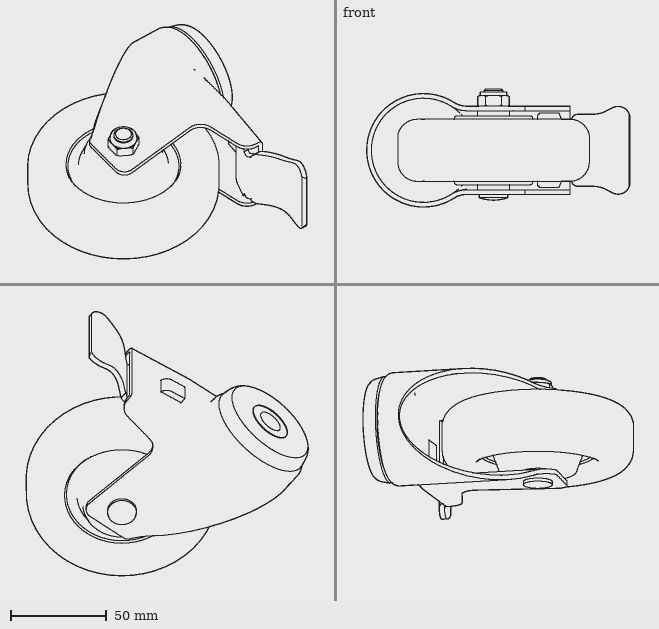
import cadquery as cq
import math


SHEET = 2.5

WHEEL_RADIUS = 50.0
WHEEL_HALF_WIDTH = 16.2
TREAD_LOW_Z = -5.9
TREAD_HIGH_Z = 8.1
TYRE_CREST_OUTER = 39.8
TYRE_CREST_INNER = 38.0
TYRE_BORE = 30.0
CORE_WEB_HALF_WIDTH = 7.5
CORE_FILLET = 1.0
HUB_BASE_RADIUS = 24.5
HUB_TOP_RADIUS = 20.5
HUB_HALF_WIDTH = 18.0
HUB_EDGE_ROUND = 1.4

BOLT_RADIUS = 5.0
BOLT_TIP_Z = 32.0
BOLT_TIP_CHAMFER = 0.8
BOLT_HEAD_RADIUS = 7.5
BOLT_HEAD_RIM = 1.6
BOLT_HEAD_HEIGHT = 3.0
SLEEVE_RADIUS = 8.4
NUT_ACROSS_CORNERS = 16.5
NUT_HEX_HEIGHT = 5.5
NUT_CHAMFER = 0.5
NUT_COLLAR_RADIUS = 7.0
NUT_COLLAR_HEIGHT = 1.9
NUT_COLLAR_ROUND = 0.7

SWIVEL_X = -36.5
CROWN_RADIUS = 29.7
CROWN_TOP_Y = 71.0
CROWN_ROUND = 4.1
CHEEK_HALF_WIDTH = 23.1
NECK_BEND = 11.8
ROOF_Y = 63.7
ROOF_SLOPE_START_X = 4.3
ROOF_END_X = 40.0
ROOF_END_Y = 60.7
ROOF_BEND = 2.9
ROOF_FILLET = 1.2
FORK_BOTTOM_Y = -12.9
FORK_CUT_START_Y = 58.9
FORK_CUT_END_X = -12.8
CHEEK_CORNER_X = 17.3
CHEEK_NOTCH = (9.0, 42.9)
CHEEK_NOSE_Y = 50.1
SPIGOT_RADIUS = 11.3
SPIGOT_TOP_Y = 79.5
MOUNT_HOLE_RADIUS = 6.5
HEEL_ROUND = 3.3
FOOT_ROUND = 5.5
NOSE_ROUND = 8.0

HEAD_BOTTOM_Y = 71.7
HEAD_RIM_HEIGHT = 0.7
HEAD_SHOULDER_Y = 76.4
HEAD_TOP_Y = 79.1
HEAD_BOTTOM_RADIUS = 27.9
HEAD_SHOULDER_RADIUS = 26.9
HEAD_TOP_RADIUS = 25.0
HEAD_NECK_RADIUS = 24.6

PEDAL_THICKNESS = 2.9
PEDAL_ARC_CENTRE = (63.6, 40.0)
PEDAL_ARC_RADIUS = 26.1
PEDAL_BEND_ANGLE = 133.0
PEDAL_TIP_ANGLE = 73.5
PEDAL_SHANK_LENGTH = 7.8
PEDAL_TOE = (38.9, 51.0)
PEDAL_FOLD = (38.0, 53.8)
PEDAL_SHANK_HALF_WIDTH = 16.0
PEDAL_NECK_HALF_WIDTH = 18.8
PEDAL_HALF_WIDTH = 23.0
PAD_LOW_CORNER = (23.0, 56.0)
PAD_HIGH_CORNER = (23.8, 58.4)
PAD_END_X = 35.6
PAD_HALF_WIDTH = 19.4
PAD_CHAMFER = 1.1
PAD_TAPER_LENGTH = 1.4
STOP_START_X = 9.8
STOP_END_X = 22.3
STOP_HALF_WIDTH = 5.5
STOP_TOP_Y = 66.5
STOP_SHOULDER = (17.7, 65.8)

CHEEK_INNER = CHEEK_HALF_WIDTH - SHEET
CAP_UNDERSIDE_Y = CROWN_TOP_Y - SHEET
FORK_CUT_SLOPE = (FORK_CUT_START_Y - FORK_BOTTOM_Y) / (FORK_CUT_END_X - SWIVEL_X + CROWN_RADIUS)
ROOF_SLOPE = (ROOF_Y - ROOF_END_Y) / (ROOF_END_X - ROOF_SLOPE_START_X)
THROUGH = 274.7
MARGIN = 1.4

BEND_Z = CHEEK_HALF_WIDTH + NECK_BEND
BEND_DX = math.sqrt((CROWN_RADIUS + NECK_BEND) ** 2 - BEND_Z**2)
BEND_X = SWIVEL_X + BEND_DX
BEND_ANGLE = math.degrees(math.atan2(BEND_Z, BEND_DX))


def polar_point(centre, radius, degrees):
    """Point on a circle at an angle from the first axis."""
    angle = math.radians(degrees)
    return (centre[0] + radius * math.cos(angle), centre[1] + radius * math.sin(angle))


def box_between(low, high):
    """Box with two opposite corners given."""
    size = [b - a for a, b in zip(low, high)]
    return cq.Workplane("XY", origin=low).box(*size, centered=False)


def roof_height(x):
    """Y of the roof's outer face on its sloping part."""
    return ROOF_Y - ROOF_SLOPE * (x - ROOF_SLOPE_START_X)


def neck_solid(inset, end_x):
    """Both cheeks and the roof as a full solid, moved inward by `inset` on every face."""
    half_width = CHEEK_HALF_WIDTH - inset
    bend = NECK_BEND + inset
    roof_y = ROOF_Y - inset
    start_x, start_z = polar_point((SWIVEL_X, 0), CROWN_RADIUS - inset, BEND_ANGLE)
    middle_x, middle_z = polar_point((BEND_X, BEND_Z), bend, 180 + (BEND_ANGLE + 90) / 2)

    neck = (
        cq.Workplane("XZ", origin=(0, FORK_BOTTOM_Y, 0))
        .moveTo(end_x, -half_width)
        .lineTo(BEND_X, -half_width)
        .threePointArc((middle_x, -middle_z), (start_x, -start_z))
        .lineTo(start_x, start_z)
        .threePointArc((middle_x, middle_z), (BEND_X, half_width))
        .lineTo(end_x, half_width)
        .close()
        .extrude(-(roof_y - FORK_BOTTOM_Y))
    )
    above_slope = (
        cq.Workplane("XY")
        .moveTo(ROOF_SLOPE_START_X, roof_y)
        .lineTo(end_x + MARGIN, roof_y)
        .lineTo(end_x + MARGIN, roof_height(end_x + MARGIN) - inset)
        .close()
        .extrude(THROUGH, both=True)
    )
    along_roof = cq.selectors.BoxSelector(
        (start_x + MARGIN, roof_height(end_x) - inset, -THROUGH), (end_x - MARGIN, THROUGH, THROUGH)
    )
    return neck.cut(above_slope).edges("not |Z").edges(along_roof).fillet(ROOF_BEND - inset)


def crown_solid(inset):
    """Round crown as a full solid, moved inward by `inset` on every face."""
    return (
        cq.Workplane("XZ", origin=(SWIVEL_X, FORK_BOTTOM_Y, 0))
        .circle(CROWN_RADIUS - inset)
        .extrude(-(CROWN_TOP_Y - inset - FORK_BOTTOM_Y))
        .faces(">Y")
        .edges()
        .fillet(CROWN_ROUND - inset)
    )


def fork_solid(inset, end_x):
    """Crown, cheeks and roof as one full solid, with a fillet where the roof meets the crown."""
    solid = crown_solid(inset).union(neck_solid(inset, end_x))
    roof_y = ROOF_Y - inset
    beside_crown = cq.selectors.BoxSelector(
        (BEND_X - NECK_BEND, roof_y - ROOF_BEND, -THROUGH),
        (BEND_X + NECK_BEND, roof_y + MARGIN, THROUGH),
    )
    return solid.edges("not (|X or |Y)").edges(beside_crown).fillet(ROOF_FILLET + inset)


def slant_height(x):
    """Y of the slanting lower edge on the outer face of the sheet."""
    return FORK_CUT_START_Y - FORK_CUT_SLOPE * (x - SWIVEL_X + CROWN_RADIUS)


def slant_cutter(axis_x, axis_z, outer_face, inner_face, start, end):
    """Removes the sheet of one bend below the slanting edge, square to the sheet everywhere.

    The bend's axis is parallel to Y; `start` and `end` are angles about it, and the two
    faces are given by their radii.
    """
    overlap = math.copysign(MARGIN, outer_face - inner_face)

    def slanted_arc(radius):
        fall = FORK_CUT_SLOPE * outer_face
        return cq.Edge.makeEllipse(
            math.hypot(radius, fall), radius,
            cq.Vector(axis_x, slant_height(axis_x), axis_z),
            cq.Vector(-fall, -radius, 0), cq.Vector(radius, -fall, 0),
            start, end,
        )

    edge_face = cq.Face.makeRuledSurface(
        slanted_arc(outer_face + overlap), slanted_arc(inner_face - overlap)
    )
    return cq.Workplane(cq.Solid.extrudeLinear(edge_face, cq.Vector(0, -THROUGH, 0)))


def cheek_outline():
    """Side outline of the fork as a block that spans the full width."""
    crown_left = SWIVEL_X - CROWN_RADIUS
    block = (
        cq.Workplane("XY")
        .moveTo(crown_left, CROWN_TOP_Y)
        .lineTo(crown_left, FORK_BOTTOM_Y)
        .lineTo(BEND_X, FORK_BOTTOM_Y)
        .lineTo(BEND_X, slant_height(BEND_X))
        .lineTo(FORK_CUT_END_X, FORK_BOTTOM_Y)
        .lineTo(CHEEK_CORNER_X, FORK_BOTTOM_Y)
        .lineTo(*CHEEK_NOTCH)
        .lineTo(ROOF_END_X, CHEEK_NOSE_Y)
        .lineTo(ROOF_END_X, CROWN_TOP_Y)
        .close()
        .extrude(CROWN_RADIUS, both=True)
    )

    def upright_edge(x, y):
        return cq.selectors.NearestToPointSelector((x, y, 0))

    block = block.edges("|Z").edges(upright_edge(FORK_CUT_END_X, FORK_BOTTOM_Y)).fillet(HEEL_ROUND)
    block = block.edges("|Z").edges(upright_edge(CHEEK_CORNER_X, FORK_BOTTOM_Y)).fillet(FOOT_ROUND)
    block = block.edges("|Z").edges(upright_edge(*CHEEK_NOTCH)).fillet(NOSE_ROUND)
    return block.edges("|Z").edges(upright_edge(ROOF_END_X, CHEEK_NOSE_Y)).fillet(NOSE_ROUND)


def swivel_cylinder(radius, low_y, high_y):
    """Cylinder about the swivel axis."""
    return cq.Workplane("XZ", origin=(SWIVEL_X, low_y, 0)).circle(radius).extrude(low_y - high_y)


def make_fork():
    """Bent sheet fork: a capped crown with a hollow spigot runs into two cheeks under a roof."""
    outside = fork_solid(0, ROOF_END_X)
    inside = fork_solid(SHEET, ROOF_END_X + SHEET)
    fork = outside.cut(inside).intersect(cheek_outline())
    fork = fork.cut(
        slant_cutter(SWIVEL_X, 0, CROWN_RADIUS, CROWN_RADIUS - SHEET, BEND_ANGLE, 360 - BEND_ANGLE)
    )
    bend_cutter = slant_cutter(
        BEND_X, BEND_Z, NECK_BEND, NECK_BEND + SHEET, 180 + BEND_ANGLE, 270
    )
    fork = fork.cut(bend_cutter).cut(bend_cutter.mirror("XY"))
    axle_hole = cq.Workplane("XY").circle(BOLT_RADIUS).extrude(THROUGH, both=True)
    stop_slot = box_between(
        (STOP_START_X, CHEEK_NOSE_Y, -STOP_HALF_WIDTH), (STOP_END_X, STOP_TOP_Y, STOP_HALF_WIDTH)
    )
    spigot = swivel_cylinder(SPIGOT_RADIUS, CAP_UNDERSIDE_Y, SPIGOT_TOP_Y)
    mount_hole = swivel_cylinder(MOUNT_HOLE_RADIUS, CAP_UNDERSIDE_Y, SPIGOT_TOP_Y)
    return fork.union(spigot).cut(mount_hole).cut(axle_hole).cut(stop_slot)


def make_head():
    """Tapered ring on top of the crown that turns on the spigot of the fork."""
    return (
        cq.Workplane("XY", origin=(SWIVEL_X, 0, 0))
        .moveTo(SPIGOT_RADIUS, CROWN_TOP_Y)
        .lineTo(HEAD_NECK_RADIUS, CROWN_TOP_Y)
        .lineTo(HEAD_NECK_RADIUS, HEAD_BOTTOM_Y)
        .lineTo(HEAD_BOTTOM_RADIUS, HEAD_BOTTOM_Y)
        .lineTo(HEAD_BOTTOM_RADIUS, HEAD_BOTTOM_Y + HEAD_RIM_HEIGHT)
        .lineTo(HEAD_SHOULDER_RADIUS, HEAD_SHOULDER_Y)
        .tangentArcPoint((HEAD_TOP_RADIUS, HEAD_TOP_Y), relative=False)
        .lineTo(SPIGOT_RADIUS, HEAD_TOP_Y)
        .close()
        .revolve(360, (0, 0, 0), (0, 1, 0))
    )


def revolve_about_axle(profile):
    """Turn a closed (radius, height) profile about the wheel axis."""
    return profile.close().revolve(360, (0, 0, 0), (0, 1, 0))


def make_tyre():
    """Tyre with rounded shoulders outside and rounded lips towards the bore."""
    lip = TYRE_CREST_INNER - TYRE_BORE
    lip_z = CORE_WEB_HALF_WIDTH + CORE_FILLET
    shoulder_width = WHEEL_RADIUS - TYRE_CREST_OUTER
    shoulder_height = WHEEL_HALF_WIDTH - TREAD_HIGH_Z
    upper_shoulder = (shoulder_width**2 + shoulder_height**2) / (2 * shoulder_height)
    return revolve_about_axle(
        cq.Workplane("XZ")
        .moveTo(TYRE_BORE, -lip_z)
        .radiusArc((TYRE_CREST_INNER, -WHEEL_HALF_WIDTH), -lip)
        .lineTo(TYRE_CREST_OUTER, -WHEEL_HALF_WIDTH)
        .tangentArcPoint((WHEEL_RADIUS, TREAD_LOW_Z), relative=False)
        .lineTo(WHEEL_RADIUS, TREAD_HIGH_Z)
        .radiusArc((TYRE_CREST_OUTER, WHEEL_HALF_WIDTH), -upper_shoulder)
        .lineTo(TYRE_CREST_INNER, WHEEL_HALF_WIDTH)
        .radiusArc((TYRE_BORE, lip_z), -lip)
    )


def make_core():
    """Wheel core: a flat web inside the tyre with a tapered hub on both sides."""
    web = CORE_WEB_HALF_WIDTH
    fillet_z = web + CORE_FILLET
    foot_radius = HUB_BASE_RADIUS - CORE_FILLET
    rim_radius = TYRE_BORE - CORE_FILLET
    hub_side_z = HUB_HALF_WIDTH - HUB_EDGE_ROUND
    hub_face_radius = HUB_TOP_RADIUS - HUB_EDGE_ROUND
    return revolve_about_axle(
        cq.Workplane("XZ")
        .moveTo(SLEEVE_RADIUS, -HUB_HALF_WIDTH)
        .lineTo(hub_face_radius, -HUB_HALF_WIDTH)
        .radiusArc((HUB_TOP_RADIUS, -hub_side_z), -HUB_EDGE_ROUND)
        .lineTo(foot_radius, -fillet_z)
        .radiusArc((HUB_BASE_RADIUS, -web), CORE_FILLET)
        .lineTo(rim_radius, -web)
        .lineTo(TYRE_BORE, -fillet_z)
        .lineTo(TYRE_BORE, fillet_z)
        .lineTo(rim_radius, web)
        .lineTo(HUB_BASE_RADIUS, web)
        .radiusArc((foot_radius, fillet_z), CORE_FILLET)
        .lineTo(HUB_TOP_RADIUS, hub_side_z)
        .radiusArc((hub_face_radius, HUB_HALF_WIDTH), -HUB_EDGE_ROUND)
        .lineTo(SLEEVE_RADIUS, HUB_HALF_WIDTH)
    )


def make_sleeve():
    """Bearing sleeve that spans the gap between the cheeks."""
    return (
        cq.Workplane("XY")
        .circle(SLEEVE_RADIUS)
        .circle(BOLT_RADIUS)
        .extrude(CHEEK_INNER, both=True)
    )


def make_bolt():
    """Axle bolt with a low domed head below and a chamfered tip above."""
    rim_z = -CHEEK_HALF_WIDTH - BOLT_HEAD_RIM
    dome_z = -CHEEK_HALF_WIDTH - BOLT_HEAD_HEIGHT
    dome_radius = (BOLT_HEAD_RADIUS**2 + (rim_z - dome_z) ** 2) / (2 * (rim_z - dome_z))
    return revolve_about_axle(
        cq.Workplane("XZ")
        .moveTo(0, dome_z)
        .radiusArc((BOLT_HEAD_RADIUS, rim_z), -dome_radius)
        .lineTo(BOLT_HEAD_RADIUS, -CHEEK_HALF_WIDTH)
        .lineTo(BOLT_RADIUS, -CHEEK_HALF_WIDTH)
        .lineTo(BOLT_RADIUS, BOLT_TIP_Z - BOLT_TIP_CHAMFER)
        .lineTo(BOLT_RADIUS - BOLT_TIP_CHAMFER, BOLT_TIP_Z)
        .lineTo(0, BOLT_TIP_Z)
    )


def make_nut():
    """Lock nut: a hexagon with bevelled corners and a round collar on top."""
    seat = cq.Workplane("XY", origin=(0, 0, CHEEK_HALF_WIDTH))
    hexagon = seat.polygon(6, NUT_ACROSS_CORNERS).extrude(NUT_HEX_HEIGHT)
    bevel = (
        seat
        .circle(NUT_ACROSS_CORNERS / 2)
        .extrude(NUT_HEX_HEIGHT)
        .edges()
        .chamfer(NUT_CHAMFER)
    )
    collar = (
        seat
        .circle(NUT_COLLAR_RADIUS)
        .extrude(NUT_HEX_HEIGHT + NUT_COLLAR_HEIGHT)
        .faces(">Z")
        .edges()
        .fillet(NUT_COLLAR_ROUND)
    )
    bore = cq.Workplane("XY").circle(BOLT_RADIUS).extrude(THROUGH)
    return hexagon.intersect(bevel).union(collar).cut(bore)


def lever_profile():
    """Side shape of the lever: the pad folds into a straight shank that runs into an arc."""
    outer = PEDAL_ARC_RADIUS + PEDAL_THICKNESS / 2
    inner = PEDAL_ARC_RADIUS - PEDAL_THICKNESS / 2
    middle_angle = (PEDAL_BEND_ANGLE + PEDAL_TIP_ANGLE) / 2

    def on_arc(radius, degrees):
        return polar_point(PEDAL_ARC_CENTRE, radius, degrees)

    shank_end = polar_point(
        on_arc(inner, PEDAL_BEND_ANGLE), PEDAL_SHANK_LENGTH, PEDAL_BEND_ANGLE + 90
    )
    return (
        cq.Workplane("XY")
        .moveTo(*PEDAL_TOE)
        .lineTo(*PAD_LOW_CORNER)
        .lineTo(*PAD_HIGH_CORNER)
        .lineTo(*PEDAL_FOLD)
        .lineTo(*on_arc(outer, PEDAL_BEND_ANGLE))
        .threePointArc(on_arc(outer, middle_angle), on_arc(outer, PEDAL_TIP_ANGLE))
        .lineTo(*on_arc(inner, PEDAL_TIP_ANGLE))
        .threePointArc(on_arc(inner, middle_angle), on_arc(inner, PEDAL_BEND_ANGLE))
        .lineTo(*shank_end)
        .close()
        .extrude(PEDAL_HALF_WIDTH + MARGIN, both=True)
    )


def lever_plan():
    """Plan shape of the lever: a wide pad, a narrower shank and a tread flaring to rounded ears."""
    pad_start_x = PAD_LOW_CORNER[0]
    step_x = 40.7
    neck_start_x = 44.0
    neck_end_x = 50.8
    step_radius = 3.3
    flare_x = 58.1
    flare_half_width = 20.2
    ear_x = 64.5
    tip_x = 71.2
    tip_half_width = 17.9
    tip_lean = 0.2

    def half(side):
        return (
            cq.Workplane("XZ")
            .moveTo(pad_start_x, 0)
            .lineTo(pad_start_x, side * (PAD_HALF_WIDTH - PAD_CHAMFER))
            .lineTo(pad_start_x + PAD_CHAMFER, side * PAD_HALF_WIDTH)
            .lineTo(PAD_END_X - PAD_TAPER_LENGTH, side * PAD_HALF_WIDTH)
            .lineTo(PAD_END_X, side * PEDAL_SHANK_HALF_WIDTH)
            .lineTo(step_x, side * PEDAL_SHANK_HALF_WIDTH)
            .radiusArc((neck_start_x, side * PEDAL_NECK_HALF_WIDTH), side * step_radius)
            .lineTo(neck_end_x, side * PEDAL_NECK_HALF_WIDTH)
            .spline(
                [(flare_x, side * flare_half_width), (ear_x, side * PEDAL_HALF_WIDTH),
                 (tip_x, side * tip_half_width)],
                tangents=[(1, 0), (tip_lean, -side)],
                includeCurrent=True,
            )
            .lineTo(tip_x, 0)
            .close()
            .extrude(-THROUGH)
        )

    return half(1).union(half(-1))


def make_brake_lever():
    """Foot pedal and brake pad, bent from one strip."""
    toe = cq.selectors.NearestToPointSelector((*PEDAL_TOE, 0))
    profile = lever_profile().edges("|Z").edges(toe).fillet(SHEET)
    return profile.intersect(lever_plan())


def make_stop():
    """Stop that fills the roof slot and stands above the roof."""
    return (
        cq.Workplane("XY")
        .moveTo(STOP_START_X, roof_height(STOP_START_X) - SHEET)
        .lineTo(STOP_START_X, STOP_TOP_Y)
        .lineTo(*STOP_SHOULDER)
        .tangentArcPoint((STOP_END_X, roof_height(STOP_END_X)), relative=False)
        .lineTo(STOP_END_X, roof_height(STOP_END_X) - SHEET)
        .close()
        .extrude(STOP_HALF_WIDTH, both=True)
    )


fork = make_fork()
head = make_head()
tyre = make_tyre()
core = make_core()
sleeve = make_sleeve()
bolt = make_bolt()
nut = make_nut()
brake_lever = make_brake_lever()
stop = make_stop()
bodies = [fork, head, tyre, core, sleeve, bolt, nut, brake_lever, stop]
result = cq.Compound.makeCompound([body.val() for body in bodies])